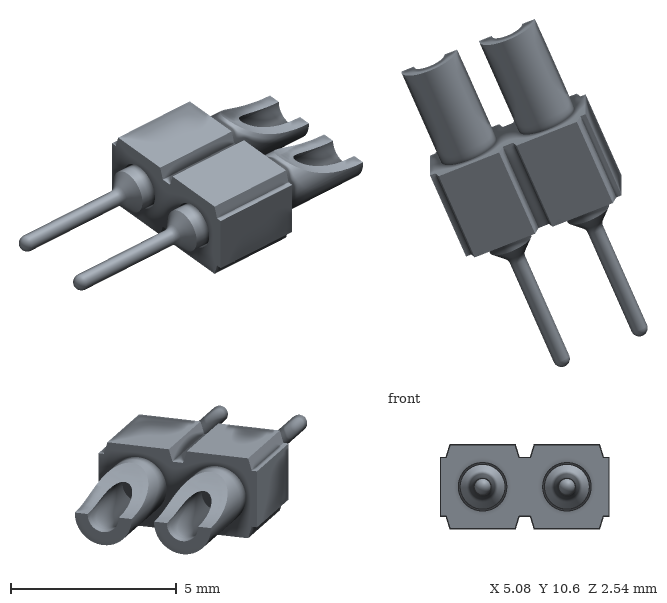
import cadquery as cq
import math

pin_count = 2
pitch = 2.54

housing_height = 2.54
housing_depth = 2.82
notch_depth = 0.38
notch_floor_half_width = 0.17
notch_mouth_half_width = 0.29
hole_radius = 0.73

barrel_radius = 0.91
barrel_length = 3.1
bore_radius = 0.5
collar_radius = 0.68
collar_projection = 0.45
tail_radius = 0.25
tail_reach = 10.59 - barrel_length - housing_depth
cone_length = 0.34
cone_tip_radius = collar_radius - cone_length

scoop_floor_z = 0.02
scoop_radius = 4.02

barrel_end = housing_depth + barrel_length
pin_positions = [(i - (pin_count - 1) / 2) * pitch for i in range(pin_count)]


def make_housing():
    """Block with V-sided notches between the cells and half notches at its ends."""
    half_height = housing_height / 2
    half_cell = pitch / 2
    shoulder_z = half_height - notch_depth
    floor_x = half_cell - notch_floor_half_width
    mouth_x = half_cell - notch_mouth_half_width
    cell_outline = [
        (-half_cell, -shoulder_z),
        (-floor_x, -shoulder_z),
        (-mouth_x, -half_height),
        (mouth_x, -half_height),
        (floor_x, -shoulder_z),
        (half_cell, -shoulder_z),
        (half_cell, shoulder_z),
        (floor_x, shoulder_z),
        (mouth_x, half_height),
        (-mouth_x, half_height),
        (-floor_x, shoulder_z),
        (-half_cell, shoulder_z),
    ]
    body = cq.Workplane("XZ")
    for x in pin_positions:
        cell = cq.Workplane("XZ", origin=(x, 0, 0)).polyline(cell_outline).close().extrude(-housing_depth)
        body = body.union(cell)
    holes = (
        cq.Workplane("XZ")
        .pushPoints([(x, 0) for x in pin_positions])
        .circle(hole_radius)
        .extrude(-housing_depth)
    )
    return body.cut(holes)


def make_scoop_cutter():
    """Region above an arc that starts level at the barrel's end and rises toward the housing."""
    arc_center_z = scoop_floor_z + scoop_radius
    angle = math.radians(60)

    def arc_point(turn):
        return (
            barrel_end - scoop_radius * math.sin(turn),
            arc_center_z - scoop_radius * math.cos(turn),
        )

    top_z = arc_point(angle)[1]
    return (
        cq.Workplane("YZ")
        .moveTo(barrel_end, scoop_floor_z)
        .threePointArc(arc_point(angle / 2), arc_point(angle))
        .lineTo(barrel_end, top_z)
        .close()
        .extrude(barrel_radius, both=True)
    )


def make_pin(x):
    """Turned pin with a bored, scooped barrel that seats on the back of the housing."""
    slope = math.radians(45)
    neck_radius = (cone_tip_radius - tail_radius) / (1 - math.cos(slope))
    cone_tip_y = -collar_projection - cone_length
    neck_end_y = cone_tip_y - neck_radius * math.sin(slope)
    neck_middle = (
        tail_radius + neck_radius * (1 - math.cos(slope / 2)),
        neck_end_y + neck_radius * math.sin(slope / 2),
    )
    dome_center_y = -tail_reach + tail_radius
    dome_middle = (
        tail_radius * math.cos(slope),
        dome_center_y - tail_radius * math.sin(slope),
    )
    turned = (
        cq.Workplane("XY")
        .moveTo(0, barrel_end)
        .lineTo(barrel_radius, barrel_end)
        .lineTo(barrel_radius, housing_depth)
        .lineTo(collar_radius, housing_depth)
        .lineTo(collar_radius, -collar_projection)
        .lineTo(cone_tip_radius, cone_tip_y)
        .threePointArc(neck_middle, (tail_radius, neck_end_y))
        .lineTo(tail_radius, dome_center_y)
        .threePointArc(dome_middle, (0, -tail_reach))
        .close()
        .revolve(360, (0, 0, 0), (0, 1, 0))
    )
    bore = cq.Workplane("XZ", origin=(0, barrel_end, 0)).circle(bore_radius).extrude(barrel_length)
    return turned.cut(bore).cut(make_scoop_cutter()).translate((x, 0, 0))


housing = make_housing()
pins = [make_pin(x) for x in pin_positions]

result = cq.Compound.makeCompound([housing.val(), *[pin.val() for pin in pins]])